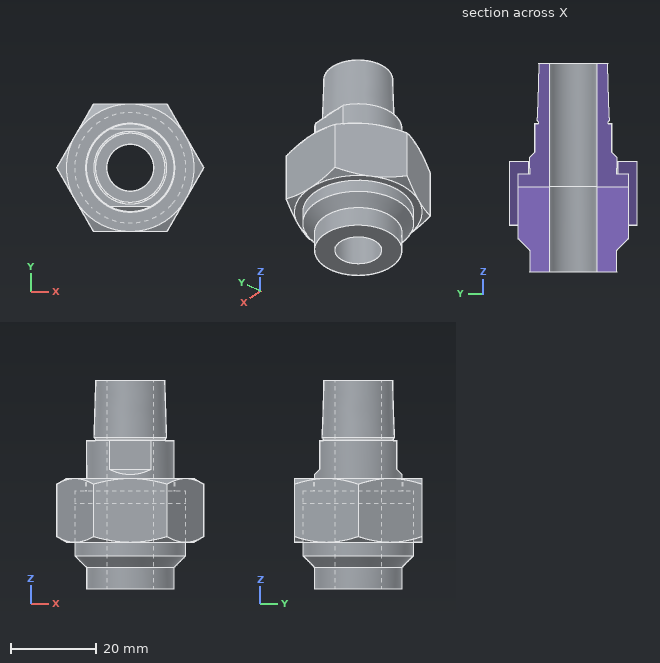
import cadquery as cq
import math

total_height = 49
spigot_top = 5.05
nut_bottom = 11.0
nut_top = 25.95
neck_top = 34.9
flat_bottom = 28.15

bore_radius = 5.5
pipe_radius = 10.3
flange_radius = 13.05

nut_across_flats = 30.0
nut_chamfer_angle = 30
nut_clearance = 0.2
nut_lip = 2.95

collar_height = 2.95
collar_top = nut_top - nut_lip
seat_height = collar_top - collar_height

flat_half_width = 9.05
flat_runout = pipe_radius - flat_half_width

male_tip_radius = 8.15
taper_per_side = 1 / 32
groove_radius = 8.25
groove_height = 0.4
groove_bevel = 0.35
male_bottom = neck_top + groove_height + groove_bevel
male_base_radius = male_tip_radius + (total_height - male_bottom) * taper_per_side


def revolved(profile):
    """Revolve a closed (radius, height) outline around the Z axis."""
    return (
        cq.Workplane("XZ")
        .polyline(profile)
        .close()
        .revolve(360, (0, 0, 0), (0, 1, 0))
    )


def make_socket():
    """Lower end piece: spigot, 45 degree shoulder and flange inside the nut."""
    shoulder_top = spigot_top + flange_radius - pipe_radius
    return revolved([
        (bore_radius, 0),
        (pipe_radius, 0),
        (pipe_radius, spigot_top),
        (flange_radius, shoulder_top),
        (flange_radius, seat_height),
        (bore_radius, seat_height),
    ])


def make_flat_cutter():
    """Wedge-ended block that removes one wrench flat from the -Y side."""
    return (
        cq.Workplane("YZ")
        .polyline([
            (-flat_half_width, neck_top),
            (-flat_half_width, flat_bottom),
            (-pipe_radius, flat_bottom - flat_runout),
            (-pipe_radius, neck_top),
        ])
        .close()
        .extrude(pipe_radius, both=True)
    )


def make_tailpiece():
    """Upper end piece: captive collar, neck with two flats and tapered male end."""
    tailpiece = revolved([
        (bore_radius, seat_height),
        (flange_radius, seat_height),
        (flange_radius, collar_top),
        (pipe_radius, collar_top),
        (pipe_radius, neck_top),
        (groove_radius, neck_top),
        (groove_radius, neck_top + groove_height),
        (male_base_radius, male_bottom),
        (male_tip_radius, total_height),
        (bore_radius, total_height),
    ])
    flat_cutter = make_flat_cutter()
    for angle in (0, 180):
        tailpiece = tailpiece.cut(flat_cutter.rotate((0, 0, 0), (0, 0, 1), angle))
    return tailpiece


def make_nut():
    """Hexagonal nut, chamfered at both ends and stepped inside to hold the collar."""
    face_radius = nut_across_flats / 2
    corner_radius = face_radius / math.cos(math.radians(30))
    chamfer_drop = (corner_radius - face_radius) * math.tan(math.radians(nut_chamfer_angle))
    hexagon = (
        cq.Workplane("XY")
        .workplane(offset=nut_bottom)
        .polygon(6, 2 * corner_radius)
        .extrude(nut_top - nut_bottom)
    )
    turned_blank = revolved([
        (flange_radius, nut_bottom),
        (face_radius, nut_bottom),
        (corner_radius, nut_bottom + chamfer_drop),
        (corner_radius, nut_top - chamfer_drop),
        (face_radius, nut_top),
        (pipe_radius + nut_clearance, nut_top),
        (pipe_radius + nut_clearance, collar_top),
        (flange_radius, collar_top),
    ])
    return hexagon.intersect(turned_blank)


socket = make_socket()
tailpiece = make_tailpiece()
nut = make_nut()

result = cq.Compound.makeCompound([socket.val(), tailpiece.solids().val(), nut.solids().val()])